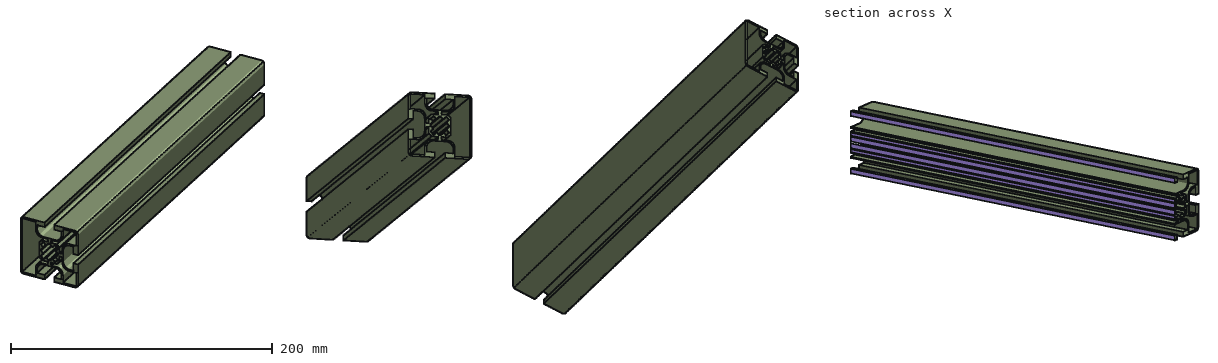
import cadquery as cq

size = 50.0
length = 300.0
corner_radius = 3.0
wall = 1.5
half = size / 2

slot_opening = 8.2
lip_thickness = 4.0
slot_half_width = 10.5
slot_wall = 1.4
slot_floor = 12.2
housing_corner_radius = 6.0
floor_thickness = 1.0
slot_corner_radius = 5.5
slot_angles = (0, 90, 180)

core_half = 8.7
core_wall = 1.4
core_corner = 2.2
core_inner_corner = 2.2
tooth_offset = 2.7
tooth_base_inner = 0.5
tooth_base_outer = 4.9
tooth_half_tip = 0.3
tooth_tip = 5.4

rib_half_width = 1.4
rib_foot_half_width = 1.8
rib_foot_height = 1.2


def extrude(sketch):
    """Extrude a closed XZ outline over the full length, centred on Y = 0."""
    return sketch.extrude(length / 2, both=True)


def box(width, height, center_z=0.0):
    """A full-length bar centred on X = 0."""
    return extrude(cq.Workplane("XZ").center(0, center_z).rect(width, height))


def around(body, angle):
    """Turn a body clockwise about the profile axis, from the top to another face."""
    return body.rotate((0, 0, 0), (0, 1, 0), angle)


def rounded_trough(half_width, bottom, top, radius):
    """A bar from bottom to top whose two lower long edges are rounded."""
    height = top - bottom
    return box(2 * half_width, height, bottom + height / 2).edges("|Y and <Z").fillet(radius)


def make_shell():
    """The outer tube with rounded long edges."""
    outer = box(size, size).edges("|Y").fillet(corner_radius)
    return outer.cut(box(size - 2 * wall, size - 2 * wall))


def make_slot_housing():
    """The solid block around the top slot, before the slot is cut."""
    outer_half_width = slot_half_width + slot_wall
    return rounded_trough(outer_half_width, slot_floor - floor_thickness, half, housing_corner_radius)


def make_slot_space():
    """The T-shaped space of the top slot."""
    cavity = rounded_trough(slot_half_width, slot_floor, half - lip_thickness, slot_corner_radius)
    opening_height = half - slot_floor
    return cavity.union(box(slot_opening, opening_height, half - opening_height / 2))


def make_core():
    """The central square channel with chamfered corners."""
    inner_half = core_half - core_wall
    outer = box(2 * core_half, 2 * core_half).edges("|Y").chamfer(core_corner)
    inner = box(2 * inner_half, 2 * inner_half).edges("|Y").chamfer(core_inner_corner)
    return outer.cut(inner)


def make_tooth(direction):
    """A tapered tooth inside the channel's top wall, on the +X (1) or -X (-1) side of its middle."""
    root = core_half - core_wall
    buried = core_half - core_wall / 2
    points = [
        (direction * tooth_base_inner, buried),
        (direction * tooth_base_inner, root),
        (direction * (tooth_offset - tooth_half_tip), tooth_tip),
        (direction * (tooth_offset + tooth_half_tip), tooth_tip),
        (direction * tooth_base_outer, root),
        (direction * tooth_base_outer, buried),
    ]
    return extrude(cq.Workplane("XZ").polyline(points).close())


def make_rib():
    """The rib from the channel's top wall to the slot floor, widening at the floor."""
    bottom = core_half - core_wall / 2
    top = slot_floor - floor_thickness / 2
    foot_top = slot_floor - floor_thickness
    foot_bottom = foot_top - rib_foot_height
    points = [
        (-rib_half_width, bottom),
        (-rib_half_width, foot_bottom),
        (-rib_foot_half_width, foot_top),
        (-rib_foot_half_width, top),
        (rib_foot_half_width, top),
        (rib_foot_half_width, foot_top),
        (rib_half_width, foot_bottom),
        (rib_half_width, bottom),
    ]
    return extrude(cq.Workplane("XZ").polyline(points).close())


profile = make_shell().union(make_core())

for side in range(4):
    for direction in (-1, 1):
        profile = profile.union(around(make_tooth(direction), 90 * side))

for slot_angle in slot_angles:
    profile = profile.union(around(make_slot_housing(), slot_angle))

for slot_angle in slot_angles:
    profile = profile.cut(around(make_slot_space(), slot_angle))
    profile = profile.union(around(make_rib(), slot_angle))

result = profile